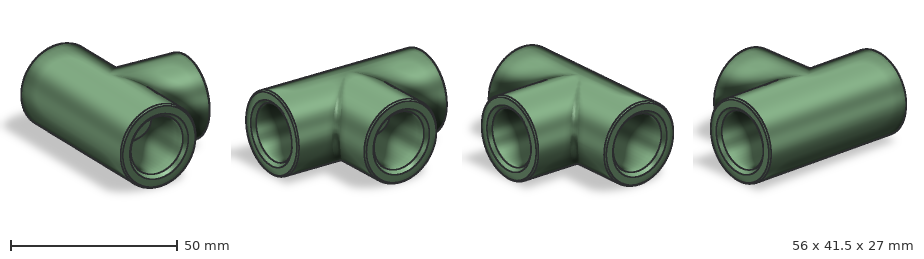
import cadquery as cq

run_length = 56.0
outer_diameter = 27.0
branch_reach = 28.0

run_bore_diameter = 18.65
branch_bore_diameter = 18.6

rim_chamfer = 0.5
mouth_chamfer = 1.2
crotch_radius = 1.7

branch_clearance = 0.01
branch_diameter = outer_diameter - branch_clearance


def run_cylinder(diameter):
    """Cylinder along X, centred on the origin."""
    return cq.Workplane("YZ").circle(diameter / 2).extrude(run_length / 2, both=True)


def branch_cylinder(diameter):
    """Cylinder from the run axis out to the branch end, along +Y."""
    return cq.Workplane("XZ").circle(diameter / 2).extrude(-branch_reach)


outer_run = run_cylinder(outer_diameter)
outer_branch = branch_cylinder(branch_diameter)
body = outer_run.union(outer_branch)
crotch_zone = cq.selectors.BoxSelector(
    (-branch_diameter, 0, -outer_diameter),
    (branch_diameter, outer_diameter / 2, outer_diameter),
    boundingbox=False,
)
crotch_edges = body.edges(crotch_zone).edges("not (%LINE or %CIRCLE)")
body = crotch_edges.fillet(crotch_radius)

body = body.faces("<X or >X or >Y").edges().chamfer(rim_chamfer)

body = body.cut(run_cylinder(run_bore_diameter)).cut(branch_cylinder(branch_bore_diameter))
smallest_circle = cq.selectors.RadiusNthSelector(0)
for end in ("<X", ">X", ">Y"):
    mouth_edge = body.faces(end).edges("%CIRCLE").edges(smallest_circle)
    body = mouth_edge.chamfer(mouth_chamfer)

result = body